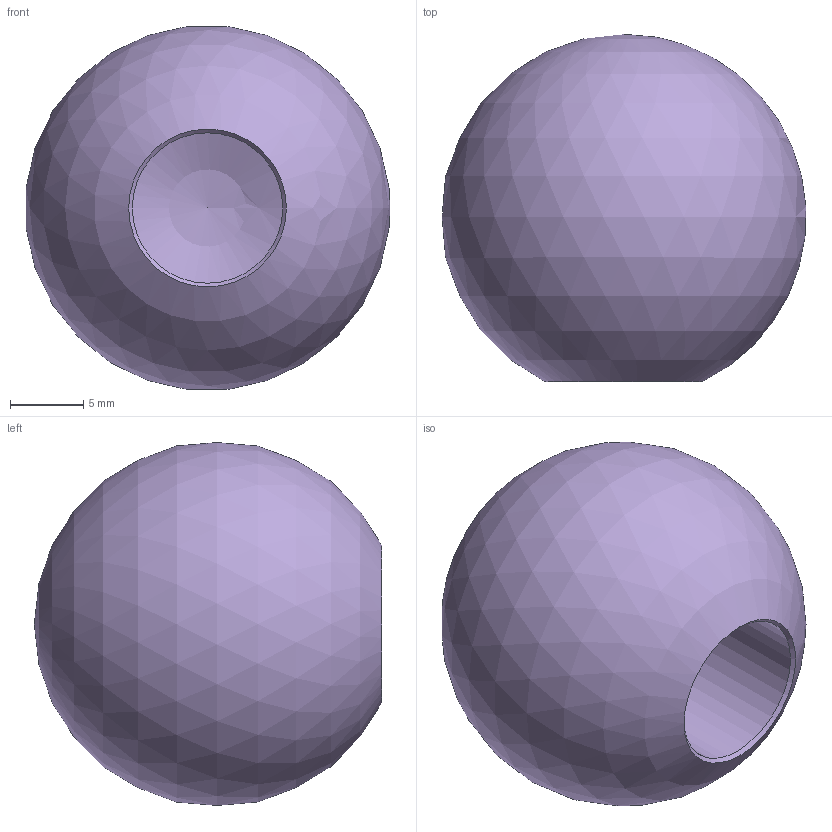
import cadquery as cq
import math

ball_diameter = 25.0
bore_diameter = 10.3
mouth_chamfer = 0.25
floor_wall = 0.75

ball_radius = ball_diameter / 2
bore_radius = bore_diameter / 2
mouth_radius = bore_radius + mouth_chamfer
flat_y = -math.sqrt(ball_radius**2 - mouth_radius**2)

floor_radius = ball_radius - floor_wall
floor_edge_y = math.sqrt(floor_radius**2 - bore_radius**2)


def arc_midpoint(radius, start_y):
    """Point halfway along the arc that runs from start_y (x > 0) to the +Y pole."""
    angle = (math.asin(start_y / radius) + math.pi / 2) / 2
    return (radius * math.cos(angle), radius * math.sin(angle))


def half_section():
    """Closed X-Y half section on the +X side: ball, mouth chamfer, bore and domed floor."""
    return (
        cq.Workplane("XY")
        .moveTo(mouth_radius, flat_y)
        .threePointArc(arc_midpoint(ball_radius, flat_y), (0, ball_radius))
        .lineTo(0, floor_radius)
        .threePointArc(arc_midpoint(floor_radius, floor_edge_y), (bore_radius, floor_edge_y))
        .lineTo(bore_radius, flat_y + mouth_chamfer)
        .close()
    )


result = half_section().revolve(360, (0, 0, 0), (0, 1, 0))